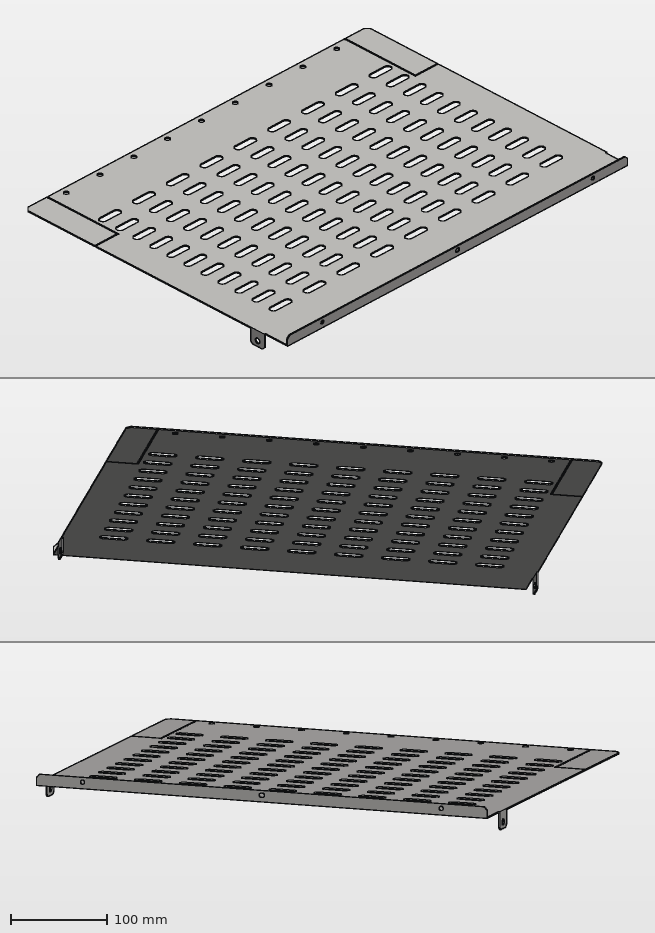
import cadquery as cq

length = 383.5
width = 506.0
thickness = 1.5
corner_chamfer = 4.5

flange_height = 12.0
flange_width = 502.5
flange_corner_chamfer = 3.5
flange_hole_diameter = 4.5
flange_hole_z = 7.0
flange_slot_length = 6.0

tab_start = 331.0
tab_end = 351.0
tab_drop = 18.0
tab_corner_chamfer = 3.0
tab_hole_diameter = 6.5
tab_hole_z = -11.0

slot_rows = 9
slot_row_span = 399.5
slot_columns = 11
slot_column_span = 250.0
first_slot_x = 72.5
slot_length = 30.0
slot_width = 9.0
edge_hole_x = 8.0
edge_hole_diameter = 6.0
row_pitch = slot_row_span / (slot_rows - 1)
column_pitch = slot_column_span / (slot_columns - 1)

slit_width = 1.5
slit_x = 104.0
slit_inset = 32.5
slit_web = 1.0


def make_plate():
    wide = (
        cq.Workplane("XY")
        .box(tab_end, width, thickness, centered=(False, True, False))
        .edges("|Z and <X")
        .chamfer(corner_chamfer)
    )
    narrow = (
        cq.Workplane("XY")
        .box(length - tab_end, flange_width, thickness, centered=(False, True, False))
        .translate((tab_end, 0, 0))
    )
    return wide.union(narrow)


def make_flange():
    flange = (
        cq.Workplane("XY")
        .box(thickness, flange_width, flange_height, centered=(False, True, False))
        .edges("|X and >Z")
        .chamfer(flange_corner_chamfer)
        .translate((length - thickness, 0, 0))
    )
    outer_row = slot_row_span / 2
    holes = (
        cq.Workplane("YZ", origin=(length - thickness, 0, flange_hole_z))
        .pushPoints([(-outer_row, 0), (outer_row, 0)])
        .circle(flange_hole_diameter / 2)
        .extrude(thickness)
    )
    middle_slot = (
        cq.Workplane("YZ", origin=(length - thickness, 0, flange_hole_z))
        .slot2D(flange_slot_length, flange_hole_diameter)
        .extrude(thickness)
    )
    return flange.cut(holes).cut(middle_slot)


def make_tab():
    """Tab on the -Y side, with a pierced hole."""
    tab_length = tab_end - tab_start
    tab_middle = (tab_start + tab_end) / 2
    tab = (
        cq.Workplane("XY")
        .box(tab_length, thickness, tab_drop + thickness, centered=(True, False, False))
        .edges("|Y and <Z")
        .chamfer(tab_corner_chamfer)
        .translate((tab_middle, -width / 2, -tab_drop))
    )
    hole = (
        cq.Workplane("XZ", origin=(tab_middle, -width / 2, tab_hole_z))
        .circle(tab_hole_diameter / 2)
        .extrude(-thickness)
    )
    return tab.cut(hole)


def make_perforations():
    last_slot_x = first_slot_x + slot_column_span
    slots = (
        cq.Workplane("XY", origin=((first_slot_x + last_slot_x) / 2, 0, 0))
        .rarray(column_pitch, row_pitch, slot_columns, slot_rows)
        .slot2D(slot_length, slot_width, 90)
        .extrude(thickness)
    )
    edge_holes = (
        cq.Workplane("XY", origin=(edge_hole_x, 0, 0))
        .rarray(5, row_pitch, 1, slot_rows)
        .circle(edge_hole_diameter / 2)
        .extrude(thickness)
    )
    return slots.union(edge_holes)


def make_corner_slit():
    """Slit around the -Y corner, open at the side edge."""
    long_leg = (
        cq.Workplane("XY")
        .box(slit_x - slit_web, slit_width, thickness, centered=False)
        .translate((slit_web, slit_inset - width / 2, 0))
    )
    short_leg = (
        cq.Workplane("XY")
        .box(slit_width, slit_inset + slit_width, thickness, centered=False)
        .translate((slit_x - slit_width, -width / 2, 0))
    )
    return long_leg.union(short_leg)


tab = make_tab()
slit = make_corner_slit()
result = (
    make_plate()
    .union(make_flange())
    .union(tab)
    .union(tab.mirror("XZ"))
    .cut(make_perforations())
    .cut(slit)
    .cut(slit.mirror("XZ"))
)